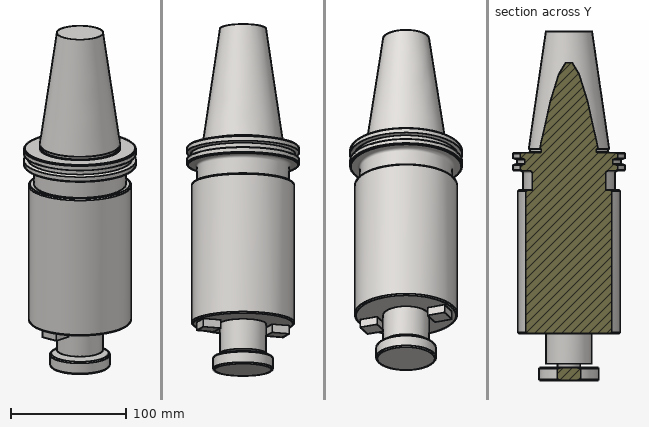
import cadquery as cq


screw_head_dia = 52.0
screw_head_top = 11.5
screw_neck_dia = 20.0

spigot_dia = 40.0
spigot_bottom = 14.5

body_dia = 89.0
body_bottom = 41.0
body_top = 165.3
edge_chamfer = 1.2

neck_dia = 80.0
neck_fillet = 2.5

flange_dia = 97.5
flange_bottom = 182.0
flange_top = 197.7
flange_chamfer = 1.0
groove_root_dia = 90.5
groove_centre = 189.8
groove_root_width = 3.5
groove_mouth_width = 6.0

total_height = 302.8
taper_ratio = 7 / 24
gauge_dia = 70.0
gauge_height = 201.0
relief_depth = 1.0
relief_flank = 0.5

key_width = 16.0
key_drop = 7.3
key_outer_dia = neck_dia
key_inner_dia = key_outer_dia - 2 * key_width


def cylinder(diameter, bottom, top):
    """Upright cylinder on the Z axis."""
    return cq.Workplane("XY").workplane(offset=bottom).circle(diameter / 2).extrude(top - bottom)


def chamfered_cylinder(diameter, bottom, top, chamfer):
    """Upright cylinder with both rims chamfered."""
    return cylinder(diameter, bottom, top).edges("%CIRCLE").chamfer(chamfer)


def revolved(profile):
    """Solid of revolution from a closed (radius, height) sketch."""
    return profile.close().revolve(360, (0, 0, 0), (0, 1, 0))


def clamping_screw():
    head = chamfered_cylinder(screw_head_dia, 0, screw_head_top, edge_chamfer)
    return head.union(cylinder(screw_neck_dia, screw_head_top, spigot_bottom))


def neck():
    """Cylinder that flares into the flange through a concave fillet."""
    radius = neck_dia / 2
    fillet_start = flange_bottom - neck_fillet
    fillet_mid = neck_fillet * (1 - 0.5 ** 0.5)
    profile = (
        cq.Workplane("XZ")
        .moveTo(0, body_top)
        .lineTo(radius, body_top)
        .lineTo(radius, fillet_start)
        .threePointArc(
            (radius + fillet_mid, flange_bottom - fillet_mid),
            (radius + neck_fillet, flange_bottom),
        )
        .lineTo(0, flange_bottom)
    )
    return revolved(profile)


def flange():
    disc = chamfered_cylinder(flange_dia, flange_bottom, flange_top, flange_chamfer)
    root = groove_root_dia / 2
    rim = flange_dia / 2
    groove = cq.Workplane("XZ").polyline([
        (root, groove_centre - groove_root_width / 2),
        (rim, groove_centre - groove_mouth_width / 2),
        (rim, groove_centre + groove_mouth_width / 2),
        (root, groove_centre + groove_root_width / 2),
    ])
    return disc.cut(revolved(groove))


def taper_shank():
    """Taper with a shallow relief groove between the gauge plane and the flange."""
    gauge_radius = gauge_dia / 2
    relief_radius = gauge_radius - relief_depth
    tip_radius = gauge_radius - taper_ratio * (total_height - gauge_height) / 2
    profile = cq.Workplane("XZ").polyline([
        (0, flange_top),
        (gauge_radius, flange_top),
        (relief_radius, flange_top + relief_flank),
        (relief_radius, gauge_height - relief_flank),
        (gauge_radius, gauge_height),
        (tip_radius, total_height),
        (0, total_height),
    ])
    return revolved(profile)


def drive_key(side):
    """Square key below the body, on the +Y (side = 1) or -Y (side = -1) flank."""
    centre_y = side * (key_inner_dia + key_outer_dia) / 4
    return (
        cq.Workplane("XY")
        .workplane(offset=body_bottom - key_drop)
        .center(0, centre_y)
        .rect(key_width, key_width)
        .extrude(key_drop + edge_chamfer)
    )


result = clamping_screw()
result = result.union(cylinder(spigot_dia, spigot_bottom, body_bottom))
result = result.union(chamfered_cylinder(body_dia, body_bottom, body_top, edge_chamfer))
result = result.union(neck()).union(flange()).union(taper_shank())
for side in (-1, 1):
    result = result.union(drive_key(side))